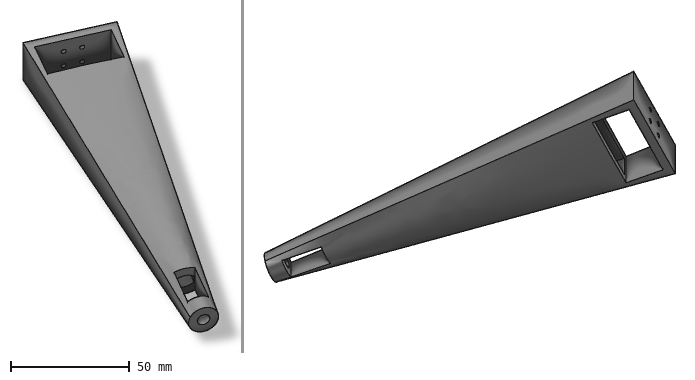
import cadquery as cq
import math

length = 178.1
root_width = 41.9
root_height = 21.0
tip_diameter = 13.4

wall = 4.0
bore_diameter = tip_diameter - 2 * wall

root_window_end = 21.0
tip_window_start = 152.6
tip_window_end = 170.8
tip_window_width = 9.3

screw_diameter = 2.1
screw_pitch = 8.2


def tapered_body(width, height, end_diameter, taper_length):
    """Blend a root rectangle into a tip circle, corner to matching arc end."""
    radius = end_diameter / 2
    corner_angle = math.atan2(height, width)
    arc_y = radius * math.cos(corner_angle)
    arc_z = radius * math.sin(corner_angle)
    return (
        cq.Workplane("YZ")
        .moveTo(-width / 2, -height / 2)
        .lineTo(width / 2, -height / 2)
        .lineTo(width / 2, height / 2)
        .lineTo(-width / 2, height / 2)
        .close()
        .workplane(offset=taper_length)
        .moveTo(-arc_y, -arc_z)
        .threePointArc((0, -radius), (arc_y, -arc_z))
        .threePointArc((radius, 0), (arc_y, arc_z))
        .threePointArc((0, radius), (-arc_y, arc_z))
        .threePointArc((-radius, 0), (-arc_y, -arc_z))
        .close()
        .loft(ruled=True, combine=True)
    )


def window(start, end, width):
    """Rectangular cutter through the full height, centred across the arm."""
    return cq.Workplane("XY").box(end - start, width, root_height).translate(((start + end) / 2, 0, 0))


passage_width = root_width - 2 * wall
passage_height = root_height - 2 * wall

arm = tapered_body(root_width, root_height, tip_diameter, length)
passage = tapered_body(passage_width, passage_height, bore_diameter, tip_window_end)
end_wall = cq.Workplane("YZ").rect(root_width, root_height).extrude(wall)
passage = passage.cut(end_wall)
tip_bore = (
    cq.Workplane("YZ", origin=(tip_window_start, 0, 0))
    .circle(bore_diameter / 2)
    .extrude(length - tip_window_start)
)

root_window = window(wall, root_window_end, passage_width)
tip_window = window(tip_window_start, tip_window_end, tip_window_width)
screw_holes = (
    cq.Workplane("YZ")
    .rarray(screw_pitch, screw_pitch, 2, 2)
    .circle(screw_diameter / 2)
    .extrude(wall)
)

result = arm.cut(passage).cut(tip_bore).cut(root_window).cut(tip_window).cut(screw_holes)